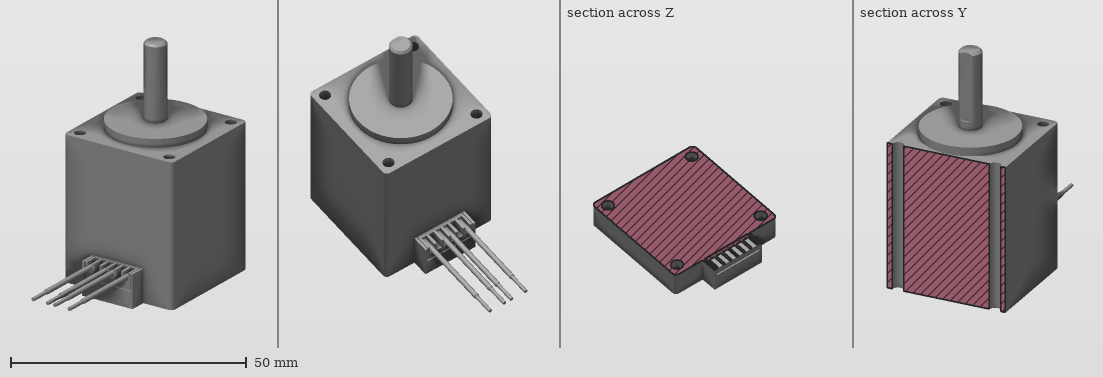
import cadquery as cq

body_width = 28.0
body_height = 34.0
corner_radius = 1.0
mount_hole_diameter = 2.6
mount_hole_spacing = 23.0

pilot_diameter = 22.0
pilot_height = 2.0
shaft_diameter = 5.0
shaft_top = 54.0
shaft_chamfer = 0.5
flat_depth = 0.5
round_base_height = 2.0

socket_width = 13.0
socket_height = 8.0
socket_reach = 4.0
recess_width = 11.9
recess_depth = 4.0
plug_gap = 0.15

slot_count = 6
slot_row_length = 9.3
slot_width = 1.25
slot_depth = 2.25
plug_back_wall = 0.85
wired_slots = [0, 2, 3, 5]
insulation_diameter = 1.2
insulation_reach = 20.0
conductor_diameter = 0.85
conductor_reach = 24.95

motor_face = -body_width / 2
pilot_top = body_height + pilot_height
shaft_radius = shaft_diameter / 2
flat_bottom = pilot_top + round_base_height
plug_width = recess_width - 2 * plug_gap
plug_height = recess_depth - plug_gap
plug_reach = socket_reach - plug_gap
slot_pitch = slot_row_length / (slot_count - 1)
wire_height = socket_height - slot_depth / 2


def block_on_motor_face(width, start, end, bottom, top):
    """Box centred on X = 0, between two distances out from the motor's -Y face."""
    return (
        cq.Workplane("XY", origin=(0, motor_face - (start + end) / 2, bottom))
        .box(width, end - start, top - bottom, centered=(True, True, False))
    )


def wire_cylinder(x, diameter, start, end):
    """Round bar running along -Y between two distances from the motor's -Y face."""
    return (
        cq.Workplane("XZ", origin=(x, motor_face - start, wire_height))
        .circle(diameter / 2)
        .extrude(end - start)
    )


def slot_position(index):
    """X position of a plug slot; the row is centred on X = 0."""
    return index * slot_pitch - slot_row_length / 2


def make_shaft():
    """Shaft with a chamfered tip and a flat on its +Y side."""
    shaft = (
        cq.Workplane("XY", origin=(0, 0, body_height))
        .circle(shaft_radius)
        .extrude(shaft_top - body_height)
        .faces(">Z")
        .chamfer(shaft_chamfer)
    )
    flat_cutter = (
        cq.Workplane("XY", origin=(0, shaft_radius - flat_depth, flat_bottom))
        .box(shaft_diameter, shaft_diameter, shaft_top - flat_bottom, centered=(True, False, False))
    )
    return shaft.cut(flat_cutter)


def make_motor():
    """Motor body with pilot boss, shaft, mounting holes and connector socket."""
    body = (
        cq.Workplane("XY")
        .rect(body_width, body_width)
        .extrude(body_height)
        .edges("|Z")
        .fillet(corner_radius)
        .faces(">Z")
        .workplane()
        .rect(mount_hole_spacing, mount_hole_spacing, forConstruction=True)
        .vertices()
        .hole(mount_hole_diameter)
    )
    pilot = (
        cq.Workplane("XY", origin=(0, 0, body_height))
        .circle(pilot_diameter / 2)
        .extrude(pilot_height)
    )
    socket = block_on_motor_face(socket_width, 0, socket_reach, 0, socket_height)
    recess = block_on_motor_face(
        recess_width, 0, socket_reach, socket_height - recess_depth, socket_height
    )
    return body.union(pilot).union(make_shaft()).union(socket.cut(recess))


def make_wired_plug():
    """Plug with a row of open slots and the wires fixed in some of them."""
    plug = block_on_motor_face(
        plug_width, 0, plug_reach, socket_height - plug_height, socket_height
    )
    slot = block_on_motor_face(
        slot_width, plug_back_wall, plug_reach, socket_height - slot_depth, socket_height
    )
    for index in range(slot_count):
        plug = plug.cut(slot.translate((slot_position(index), 0, 0)))
    for index in wired_slots:
        x = slot_position(index)
        insulation = wire_cylinder(x, insulation_diameter, plug_back_wall, insulation_reach)
        conductor = wire_cylinder(x, conductor_diameter, insulation_reach, conductor_reach)
        plug = plug.union(insulation).union(conductor)
    return plug


motor = make_motor()
wired_plug = make_wired_plug()

result = cq.Compound.makeCompound([motor.solids().val(), wired_plug.solids().val()])